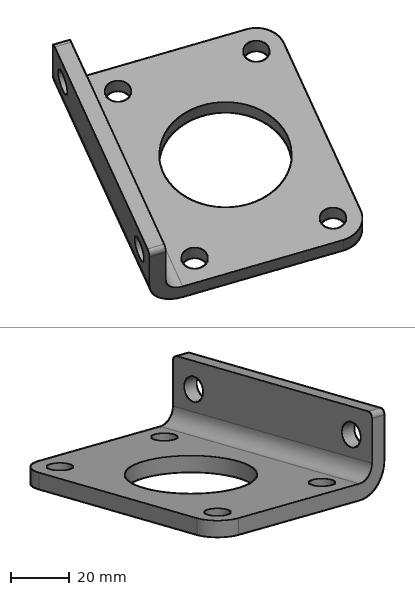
import cadquery as cq

width = 96.0
depth = 80.0
height = 30.0
thickness = 6.0

inner_bend_radius = 6.0
outer_bend_radius = inner_bend_radius + thickness

plate_corner_radius = 10.0
flange_corner_radius = 2.0

bore_diameter = 45.0
bolt_diameter = 9.0
bolt_edge_distance = 10.0
bolt_spacing_x = width - 2 * bolt_edge_distance
bolt_spacing_y = 50.0

rear_y = bolt_spacing_y / 2 + bolt_edge_distance
front_y = rear_y - depth
flange_inner_y = front_y + thickness
bend_center_y = front_y + outer_bend_radius
bend_center_z = outer_bend_radius
flange_bolt_z = height - bolt_edge_distance


def bent_sheet():
    """L-shaped sheet profile in the YZ plane, extruded across the width."""
    return (
        cq.Workplane("YZ")
        .moveTo(rear_y, 0)
        .lineTo(bend_center_y, 0)
        .radiusArc((front_y, bend_center_z), outer_bend_radius)
        .lineTo(front_y, height)
        .lineTo(flange_inner_y, height)
        .lineTo(flange_inner_y, bend_center_z)
        .radiusArc((bend_center_y, thickness), -inner_bend_radius)
        .lineTo(rear_y, thickness)
        .close()
        .extrude(width / 2, both=True)
    )


def round_corners(body):
    """Round the rear corners of the plate and the top corners of the flange."""
    body = body.faces(">Y").edges("|Z").fillet(plate_corner_radius)
    return body.faces(">Z").edges("|Y").fillet(flange_corner_radius)


def plate_holes():
    """Cutters for the central bore and the four bolt holes around it."""
    bore = cq.Workplane("XY").circle(bore_diameter / 2).extrude(thickness)
    bolts = (
        cq.Workplane("XY")
        .rarray(bolt_spacing_x, bolt_spacing_y, 2, 2)
        .circle(bolt_diameter / 2)
        .extrude(thickness)
    )
    return bore.union(bolts)


def flange_holes():
    """Cutters for the two bolt holes through the upright flange."""
    half_spacing = bolt_spacing_x / 2
    return (
        cq.Workplane("XZ", origin=(0, flange_inner_y, 0))
        .pushPoints([(-half_spacing, flange_bolt_z), (half_spacing, flange_bolt_z)])
        .circle(bolt_diameter / 2)
        .extrude(thickness)
    )


result = round_corners(bent_sheet()).cut(plate_holes()).cut(flange_holes())